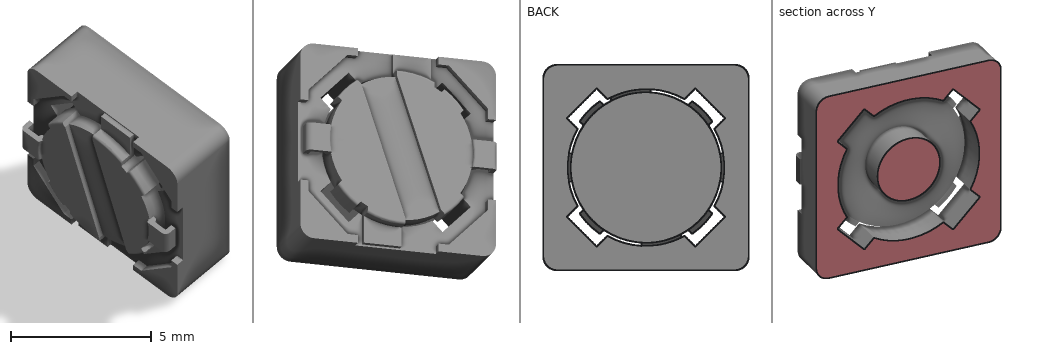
import cadquery as cq

side = 7.3
half_side = side / 2
corner_radius = 0.505
housing_height = 2.71
floor_height = 2.41
pad_reach = 1.505
pad_rim = 3.36
pad_bend = 1.89
bore_radius = 2.78
notch_reach = 3.22
notch_width = 1.49

core_radius = 2.67
core_height = 2.855
waist_radius = 1.24
flange_thickness = 0.875
cover_height = 3.05
tab_width = 1.01
tab_length = 0.91
band_width = 1.4
band_tilt = 18.7

fold_radius = 2.87
fold_round = 0.09

strap_left = -0.16
strap_right = 1.25
strap_end = 3.585
strap_height = 2.61

clip_front = 3.2
clip_thickness = 0.2
clip_outer = 3.555
clip_width = 1.02
clip_bend_radius = 0.205
clip_root = 2.19
hook_round = 0.13
clip_inner_height = clip_front - clip_thickness
clip_lip_radius = (clip_front - cover_height) / 2

diagonals = (45, 135, 225, 315)


def plane_at(height):
    """Sketch plane with X right, Z up, extruding toward -Y."""
    return cq.Workplane("XZ", origin=(0, -height, 0))


def turned(shape, angle):
    """Turn a shape about the central Y axis."""
    return shape.rotate((0, 0, 0), (0, 1, 0), angle)


def radial_bar(reach, width, height):
    """Bars from the centre out along all four diagonals."""
    bar = plane_at(0).center(reach / 2, 0).rect(reach, width).extrude(height)
    bars = turned(bar, diagonals[0])
    for angle in diagonals[1:]:
        bars = bars.union(turned(bar, angle))
    return bars


def make_housing():
    block = plane_at(0).rect(side, side).extrude(housing_height).edges("|Y").fillet(corner_radius)
    pad_outline = [
        (pad_reach, half_side),
        (pad_reach, pad_rim),
        (pad_bend, pad_rim),
        (pad_rim, pad_bend),
        (pad_rim, pad_reach),
        (half_side, pad_reach),
        (half_side, half_side),
    ]
    pad = plane_at(floor_height).polyline(pad_outline).close().extrude(housing_height - floor_height)
    recess = plane_at(floor_height).rect(side, side).extrude(housing_height - floor_height)
    for quarter in range(4):
        recess = recess.cut(turned(pad, 90 * quarter))
    bore = plane_at(0).circle(bore_radius).extrude(housing_height)
    return block.cut(recess).cut(bore).cut(radial_bar(notch_reach, notch_width, housing_height))


def folded_disc(bottom, top, rounded_face, rounding):
    disc = plane_at(bottom).circle(fold_radius).extrude(top - bottom)
    return disc.faces(rounded_face).edges().fillet(rounding)


def make_core():
    """Spool with two flanges and a waist, plus the cover tabs folded over its front edge."""
    core = plane_at(0).circle(core_radius).extrude(cover_height)
    waist_length = cover_height - 2 * flange_thickness
    winding_space = (
        plane_at(flange_thickness)
        .circle(core_radius)
        .circle(waist_radius)
        .extrude(waist_length)
    )
    tab_bars = radial_bar(half_side, tab_width, cover_height)
    rim = folded_disc(cover_height - tab_length, cover_height, "<Y", fold_round)
    tab_ring = rim.cut(plane_at(0).circle(core_radius).extrude(cover_height))
    return core.cut(winding_space).union(tab_ring.intersect(tab_bars))


def make_strap():
    def strap_bar(height):
        middle = (strap_left + strap_right) / 2
        outline = plane_at(floor_height).center(middle, strap_end / 2)
        return outline.rect(strap_right - strap_left, strap_end).extrude(height - floor_height)

    wall = folded_disc(floor_height, cover_height, "<Y", fold_round)
    return strap_bar(strap_height).union(wall.intersect(strap_bar(cover_height)))


def make_band():
    band = plane_at(core_height).rect(band_width, side).extrude(cover_height - core_height)
    return turned(band, -band_tilt)


def make_clip_opening():
    """Round opening in front of the cover, flaring through an S-shaped edge."""
    profile = (
        cq.Workplane("XY")
        .moveTo(0, -cover_height)
        .lineTo(core_radius - clip_lip_radius, -cover_height)
        .radiusArc((core_radius, -cover_height - clip_lip_radius), clip_lip_radius)
        .radiusArc((core_radius + clip_lip_radius, -clip_front), -clip_lip_radius)
        .lineTo(0, -clip_front)
        .close()
    )
    return profile.revolve(360, (0, 0, 0), (0, 1, 0))


def make_clip():
    """Terminal on the +X side: outer leg, front plate and hook onto the core."""
    outline = [
        (clip_root, -clip_inner_height),
        (clip_outer - clip_thickness, -clip_inner_height),
        (clip_outer - clip_thickness, -housing_height),
        (clip_outer, -housing_height),
        (clip_outer, clip_bend_radius - clip_front),
    ]
    plate = (
        cq.Workplane("XY", origin=(0, 0, -clip_width / 2))
        .polyline(outline)
        .radiusArc((clip_outer - clip_bend_radius, -clip_front), clip_bend_radius)
        .lineTo(clip_root, -clip_front)
        .close()
        .extrude(clip_width)
    )
    hook_bar = (
        plane_at(core_height)
        .center((clip_root + half_side) / 2, 0)
        .rect(half_side - clip_root, clip_width)
        .extrude(clip_inner_height - core_height)
    )
    hook = folded_disc(core_height, clip_inner_height, ">Y", hook_round).intersect(hook_bar)
    return plate.union(hook).cut(make_clip_opening())


strap = make_strap()
clip = make_clip()

insert = make_core().union(strap).union(turned(strap, 180)).cut(make_band())
result = make_housing().union(insert).union(clip).union(turned(clip, 180))